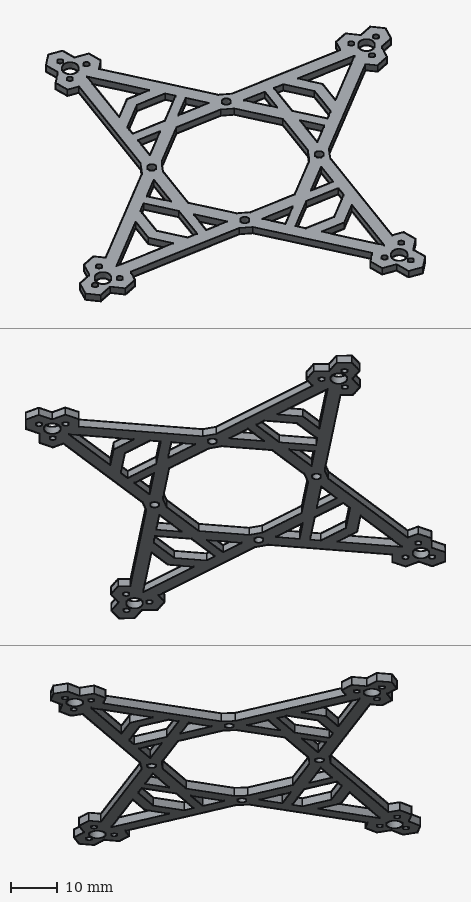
import cadquery as cq
import math

span = 103.2
thickness = 2.0
arm_count = 4
arm_step = 360 / arm_count

pad_radius = 3.3
screw_circle_radius = 3.3
screw_diameter = 1.3
shaft_opening_diameter = 3.6
shaft_opening_distance = 45.3
shaft_opening_shift = 0.28
mount_distance = span / 2 - pad_radius - screw_circle_radius

bar_width = 3.0
crossing_width = 2.3
brace_width = 2.6
brace_peak = 29.9

joint_offset = 12.8
joint_hole_diameter = 2.0
joint_width = 4.5

bar_slope = joint_offset / (mount_distance - joint_offset)
bar_tilt = math.atan(bar_slope)
bar_angle = math.degrees(bar_tilt)
crossing_distance = mount_distance / math.cos(bar_tilt)
bar_length = mount_distance * (math.cos(bar_tilt) + math.sin(bar_tilt))


def bar(side):
    """Bar of the +Y arm leaning to one side (-1 or 1); it runs through a joint into the next arm.

    Beyond the corner of the inner opening the bar keeps its far edge and gets narrower.
    """
    half = bar_width / 2
    leaning_right = (
        cq.Workplane("XY")
        .polyline([
            (0, half),
            (bar_length, half),
            (bar_length, half - crossing_width),
            (crossing_distance, half - crossing_width),
            (crossing_distance, -half),
            (0, -half),
        ])
        .close()
        .extrude(thickness)
        .rotate((0, 0, 0), (0, 0, 1), -90 + bar_angle)
        .translate((0, mount_distance, 0))
    )
    return leaning_right if side > 0 else leaning_right.mirror("YZ")


def screw_points():
    """Screw positions of the mount on the +Y arm."""
    angles = [math.radians(90 + 120 * i) for i in range(3)]
    return [
        (
            screw_circle_radius * math.cos(a),
            mount_distance + screw_circle_radius * math.sin(a),
        )
        for a in angles
    ]


def hexagon(center, radius):
    """Hexagonal prism with corners pointing along +Y and -Y."""
    return (
        cq.Workplane("XY")
        .polygon(6, 2 * radius)
        .extrude(thickness)
        .rotate((0, 0, 0), (0, 0, 1), 30)
        .translate((center[0], center[1], 0))
    )


def brace():
    """Chevron between the two bars of the +Y arm, sloped like the crossing bars."""
    half_height = brace_width / 2 / math.cos(bar_tilt)
    peak = brace_peak - half_height
    run = (mount_distance - peak) * bar_slope / (1 - bar_slope**2)
    fall = run * bar_slope
    return (
        cq.Workplane("XY")
        .polyline([
            (0, peak + half_height),
            (run, peak + half_height - fall),
            (run, peak - half_height - fall),
            (0, peak - half_height),
            (-run, peak - half_height - fall),
            (-run, peak + half_height - fall),
        ])
        .close()
        .extrude(thickness)
    )


def joint():
    """Flat-sided filler that widens the crossing of two bars at a joint hole."""
    half = joint_width / 2
    turn = math.radians(45 - bar_angle)
    half_flat = (half - bar_width / 2 / math.cos(turn)) / math.tan(turn)
    return (
        cq.Workplane("XY")
        .rect(joint_width, 2 * half_flat)
        .extrude(thickness)
        .rotate((0, 0, 0), (0, 0, 1), 45)
        .translate((joint_offset, joint_offset, 0))
    )


def arm():
    """The +Y arm with its mount, bars, brace and one joint."""
    body = brace().union(joint())
    for side in (-1, 1):
        body = body.union(bar(side))
    for point in screw_points():
        body = body.union(hexagon(point, pad_radius))
    return body


def arm_holes():
    """Cutters for the +Y mount and one joint hole."""
    screws = cq.Workplane("XY").pushPoints(screw_points()).circle(screw_diameter / 2).extrude(thickness)
    joint_hole = (
        cq.Workplane("XY")
        .center(joint_offset, joint_offset)
        .circle(joint_hole_diameter / 2)
        .extrude(thickness)
    )
    return screws.union(joint_hole)


def shaft_openings():
    """Cutters for the round openings of all mounts; the whole set sits slightly toward -Y."""
    return (
        cq.Workplane("XY")
        .center(0, -shaft_opening_shift)
        .polarArray(shaft_opening_distance, 0, 360, arm_count)
        .circle(shaft_opening_diameter / 2)
        .extrude(thickness)
    )


def turned(shape, index):
    """Shape of the +Y arm moved to the arm with the given index."""
    return shape.rotate((0, 0, 0), (0, 0, 1), arm_step * index)


frame = arm()
for i in range(1, arm_count):
    frame = frame.union(turned(arm(), i))
for i in range(arm_count):
    frame = frame.cut(turned(arm_holes(), i))

result = frame.cut(shaft_openings())